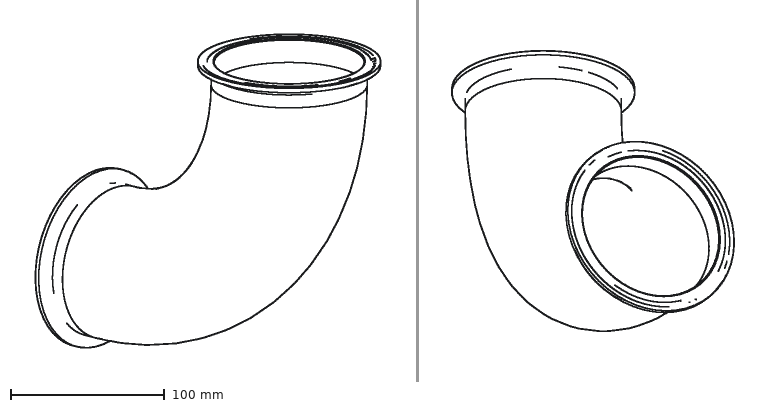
import cadquery as cq

OVERALL = 227.8
FLANGE_DIAMETER = 119.0
TUBE_DIAMETER = 101.5
WALL = 2.0

FERRULE_LENGTH = 16.0
RIM_THICKNESS = 3.0
FLANGE_DEPTH = 6.5
BORE_CHAMFER = 0.7
FOOT_FILLET = 1.0

GROOVE_RADIUS = 55.0
GROOVE_WIDTH = 3.2
GROOVE_DEPTH = 1.5
GROOVE_LIP_FILLET = 0.7

EDGE_TOLERANCE = 0.02

flange_radius = FLANGE_DIAMETER / 2
tube_radius = TUBE_DIAMETER / 2
bore_radius = tube_radius - WALL
bend_radius = OVERALL - flange_radius - FERRULE_LENGTH


def make_elbow():
    """Quarter-turn tube; the bend centre is the origin and the axis of bending is Y."""
    return (
        cq.Workplane("XY")
        .center(bend_radius, 0)
        .circle(tube_radius)
        .circle(bore_radius)
        .revolve(90, (-bend_radius, 0), (-bend_radius, 1))
    )


class CircleAt(cq.Selector):
    """Selects the circular edges of one radius that lie at one height."""

    def __init__(self, radius, height):
        self.radius = radius
        self.height = height

    def matches(self, edge):
        return (
            edge.geomType() == "CIRCLE"
            and abs(edge.radius() - self.radius) < EDGE_TOLERANCE
            and abs(edge.Center().z - self.height) < EDGE_TOLERANCE
        )

    def filter(self, edges):
        return [edge for edge in edges if self.matches(edge)]


def make_ferrule():
    """Clamp ferrule standing on the XY plane, with its sealing face on top."""
    rim_bottom = FERRULE_LENGTH - RIM_THICKNESS
    cone_bottom = FERRULE_LENGTH - FLANGE_DEPTH
    groove_floor = FERRULE_LENGTH - GROOVE_DEPTH
    groove_inner = GROOVE_RADIUS - GROOVE_WIDTH / 2
    groove_outer = GROOVE_RADIUS + GROOVE_WIDTH / 2
    ferrule = (
        cq.Workplane("XZ")
        .moveTo(bore_radius, 0)
        .lineTo(tube_radius, 0)
        .lineTo(tube_radius, cone_bottom)
        .lineTo(flange_radius, rim_bottom)
        .lineTo(flange_radius, FERRULE_LENGTH)
        .lineTo(groove_outer, FERRULE_LENGTH)
        .threePointArc((GROOVE_RADIUS, groove_floor), (groove_inner, FERRULE_LENGTH))
        .lineTo(bore_radius + BORE_CHAMFER, FERRULE_LENGTH)
        .lineTo(bore_radius, FERRULE_LENGTH - BORE_CHAMFER)
        .close()
        .revolve(360, (0, 0), (0, 1))
    )
    foot = CircleAt(tube_radius, cone_bottom)
    groove_lips = CircleAt(groove_inner, FERRULE_LENGTH) + CircleAt(groove_outer, FERRULE_LENGTH)
    return ferrule.edges(foot).fillet(FOOT_FILLET).edges(groove_lips).fillet(GROOVE_LIP_FILLET)


elbow = make_elbow()

ferrules = []
for tilt, position in ((0, (bend_radius, 0, 0)), (-90, (0, 0, -bend_radius))):
    ferrules.append(make_ferrule().rotate((0, 0, 0), (0, 1, 0), tilt).translate(position))

result = cq.Compound.makeCompound([elbow.val(), *[ferrule.val() for ferrule in ferrules]])